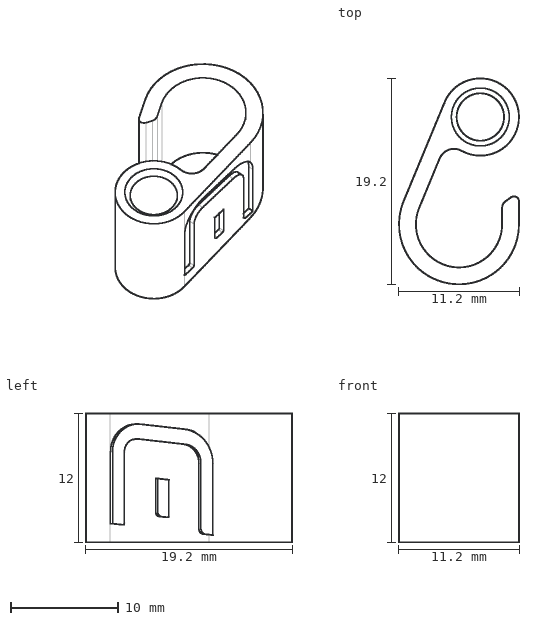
import cadquery as cq
import math

HEIGHT = 12.0
OVERALL_X = 11.19
OVERALL_Y = 19.19
WALL = 1.6
HOOK_RADIUS = OVERALL_X / 2
INNER_RADIUS = HOOK_RADIUS - WALL

EYE_RADIUS = 3.6
HOLE_DIAMETER = 4.4
COUNTERSINK_DIAMETER = 5.4
COUNTERSINK_ANGLE = 90
EYE_X = HOOK_RADIUS - EYE_RADIUS
EYE_Y = OVERALL_Y - HOOK_RADIUS - EYE_RADIUS
NECK_FILLET = 1.44

TIP_INNER_Y = 1.92
TIP_OUTER_Y = 3.07
TIP_INNER_FILLET = 0.77
TIP_OUTER_FILLET = 0.48

GROOVE_DEPTH = 0.5
GROOVE_SLOPE = math.tan(math.radians(6))
BAND_WIDTH = 1.4
BAND_START = -9.92
BAND_END = 0.38
BAND_TOP = 11.3
BAND_BOTTOM = 1.75
BAND_EYE_RADIUS = 2.6
BAND_HOOK_RADIUS = 3.17
LEG_TOE_FILLET = 0.2
LEG_HEEL_FILLET = 0.5
SLOT_START = -5.37
SLOT_END = -4.05
SLOT_TOP = 5.95
SLOT_BOTTOM = 2.44
SLOT_TOE_FILLET = 0.13
SLOT_HEEL_FILLET = 0.42

eye_distance = math.hypot(EYE_X, EYE_Y)
normal_angle = math.atan2(EYE_Y, EYE_X) + math.acos((HOOK_RADIUS - EYE_RADIUS) / eye_distance)
normal_x = math.cos(normal_angle)
normal_y = math.sin(normal_angle)
flat_length = math.sqrt(eye_distance**2 - (HOOK_RADIUS - EYE_RADIUS) ** 2)
flat_plane = cq.Plane(
    origin=(HOOK_RADIUS * normal_x, HOOK_RADIUS * normal_y, 0),
    xDir=(-normal_y, normal_x, 0),
    normal=(normal_x, normal_y, 0),
)


def arm_point(offset, along):
    """Point at a distance from the hook centre along the flat's normal, then towards the eye."""
    return (offset * normal_x + along * normal_y, offset * normal_y - along * normal_x)


def round_corner(solid, point, radius):
    """Fillet the straight edge whose middle is nearest to a point."""
    return solid.edges(cq.selectors.NearestToPointSelector(point)).fillet(radius)


def make_body():
    hook = (
        cq.Workplane("XY")
        .moveTo(*arm_point(HOOK_RADIUS, flat_length))
        .lineTo(*arm_point(HOOK_RADIUS, 0))
        .threePointArc((0, -HOOK_RADIUS), (HOOK_RADIUS, 0))
        .lineTo(HOOK_RADIUS, TIP_OUTER_Y)
        .lineTo(INNER_RADIUS, TIP_INNER_Y)
        .lineTo(INNER_RADIUS, 0)
        .threePointArc((0, -INNER_RADIUS), arm_point(INNER_RADIUS, 0))
        .lineTo(*arm_point(INNER_RADIUS, flat_length))
        .close()
        .extrude(HEIGHT)
    )
    eye = cq.Workplane("XY").center(EYE_X, EYE_Y).circle(EYE_RADIUS).extrude(HEIGHT)
    body = hook.union(eye)

    neck_offset = INNER_RADIUS - (HOOK_RADIUS - EYE_RADIUS)
    neck_along = flat_length - math.sqrt(EYE_RADIUS**2 - neck_offset**2)
    middle = HEIGHT / 2
    body = round_corner(body, (*arm_point(INNER_RADIUS, neck_along), middle), NECK_FILLET)
    body = round_corner(body, (INNER_RADIUS, TIP_INNER_Y, middle), TIP_INNER_FILLET)
    body = round_corner(body, (HOOK_RADIUS, TIP_OUTER_Y, middle), TIP_OUTER_FILLET)
    return (
        body.faces(">Z")
        .workplane(origin=(EYE_X, EYE_Y, HEIGHT))
        .cskHole(HOLE_DIAMETER, COUNTERSINK_DIAMETER, COUNTERSINK_ANGLE)
    )


def sloped_outline(start, end, top, bottom):
    """Corners of a panel whose ends drop towards the hook; heights are taken at its start."""
    drop = (end - start) * GROOVE_SLOPE
    return [(start, top), (end, top - drop), (end, bottom - drop), (start, bottom)]


def flat_cutter(corners, radii):
    """Prism through the flat side, reaching equally in and out, with rounded corners."""
    cutter = cq.Workplane(flat_plane).polyline(corners).close().extrude(GROOVE_DEPTH, both=True)
    for corner, radius in zip(corners, radii):
        if radius > 0:
            cutter = round_corner(cutter, flat_plane.toWorldCoords(corner), radius)
    return cutter


def make_band():
    """Arch-shaped groove: a rounded panel with a smaller one left standing inside it."""
    outer_corners = sloped_outline(BAND_START, BAND_END, BAND_TOP, BAND_BOTTOM)
    outer = flat_cutter(outer_corners, [BAND_EYE_RADIUS, BAND_HOOK_RADIUS, 0, 0])
    inner_start = BAND_START + BAND_WIDTH
    inner_end = BAND_END - BAND_WIDTH
    inner_top = BAND_TOP - BAND_WIDTH * (1 + GROOVE_SLOPE)
    inner_corners = sloped_outline(inner_start, inner_end, inner_top, -BAND_BOTTOM)
    inner_radii = [BAND_EYE_RADIUS - BAND_WIDTH, BAND_HOOK_RADIUS - BAND_WIDTH, 0, 0]
    band = outer.cut(flat_cutter(inner_corners, inner_radii))

    toe = (inner_start, BAND_BOTTOM - BAND_WIDTH * GROOVE_SLOPE)
    heel = (inner_end, BAND_BOTTOM - (inner_end - BAND_START) * GROOVE_SLOPE)
    band = round_corner(band, flat_plane.toWorldCoords(toe), LEG_TOE_FILLET)
    return round_corner(band, flat_plane.toWorldCoords(heel), LEG_HEEL_FILLET)


def make_slot():
    corners = sloped_outline(SLOT_START, SLOT_END, SLOT_TOP, SLOT_BOTTOM)
    return flat_cutter(corners, [0, 0, SLOT_TOE_FILLET, SLOT_HEEL_FILLET])


result = make_body().cut(make_band()).cut(make_slot())